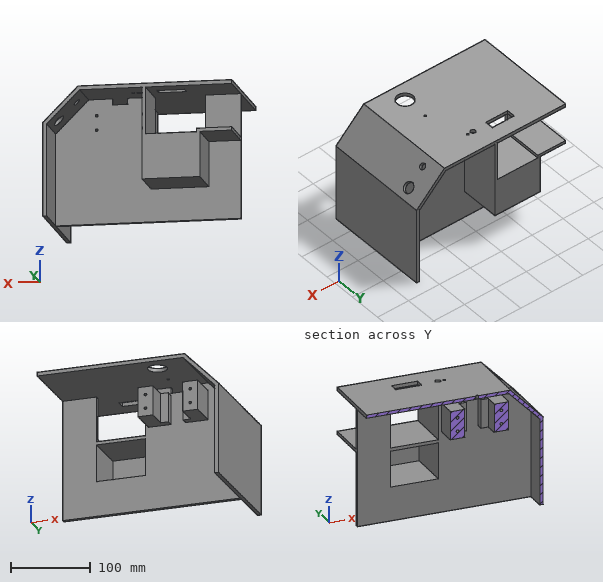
import cadquery as cq
import math

length = 241.2
width = 160.0
height = 165.0
panel = 5.0
corner_cut = 45.0
slope_angle = 45.0

wall_back = width - 60.0
wall_front = wall_back - panel
under_top = height - panel

sheet = 4.3
bay_left = 45.0
bay_right = 110.0
shelf_top = height - 60.5
bay_shelf_top = shelf_top - sheet
bay_floor_top = height - 118.5
bay_floor_bottom = bay_floor_top - sheet

window_left = 144.2
window_right = 163.8
window_bottom = height - 12.8
bracket_top = height - 15.5
bracket_bottom = bracket_top - 39.0
bracket_reach = 39.3
foot_width = 10.1
foot_thickness = 10.0
block_width = 19.8
screw_diameter = 3.1
screw_spacing = 18.3

top_holes = [
    (123.5, 127.5, 7.2),
    (132.0, 127.8, 3.1),
    (150.8, 66.3, 3.1),
    (150.8, 26.3, 25.0),
]
slot_left = 64.6
slot_right = 99.9
slot_front = 124.2
slot_back = 137.0

slope_holes = [(207.0, 9.0), (229.6, 15.7)]
slope_hole_y = 130.0


def block(x0, x1, y0, y1, z0, z1):
    """Box between two opposite corners."""
    return cq.Workplane("XY").box(x1 - x0, y1 - y0, z1 - z0, centered=False).translate((x0, y0, z0))


def profile(points, y0, y1):
    """Extrude an XZ outline from y0 to y1."""
    return cq.Workplane("XZ", origin=(0, y0, 0)).polyline(points).close().extrude(y0 - y1)


def shell_and_wall():
    """Bent cover of even thickness, with the upright wall beneath it."""
    bend_shift = panel * math.tan(math.radians(slope_angle / 2))
    top_bend = length - corner_cut
    side_bend = height - corner_cut
    outer = [(0, height), (top_bend, height), (length, side_bend), (length, 0)]
    inner = [
        (length - panel, 0),
        (length - panel, side_bend - bend_shift),
        (top_bend - bend_shift, under_top),
        (0, under_top),
    ]
    cover = profile(outer + inner, 0, width)
    wall = profile(outer + [(0, 0)], wall_front, wall_back)
    return cover.union(wall)


def cut_wall_openings(body):
    bay = block(bay_left, bay_right, wall_front, wall_back, bay_floor_top, under_top)
    window = block(window_left, window_right, wall_front, wall_back, window_bottom, under_top)
    return body.cut(bay).cut(window)


def compartment():
    """Side shelf and sheet-walled bay behind the wall."""
    outer_left = bay_left - sheet
    outer_right = bay_right + sheet
    sheets = [
        block(0, bay_left, wall_back, width, bay_shelf_top, shelf_top),
        block(bay_left, bay_right, wall_front, width, bay_shelf_top - sheet, bay_shelf_top),
        block(outer_left, bay_left, wall_back, width, bay_floor_bottom, bay_shelf_top),
        block(bay_right, outer_right, wall_back, width, bay_floor_bottom, under_top),
        block(outer_left, outer_right, wall_back, width, bay_floor_bottom, bay_floor_top),
        block(outer_left, outer_right, width - sheet, width, bay_floor_bottom, bay_shelf_top),
    ]
    body = sheets[0]
    for piece in sheets[1:]:
        body = body.union(piece)
    return body


def add_bracket(body, window_edge, outward):
    """L bracket: low foot beside the window, screw block on its outer side (outward is -1 or 1)."""
    block_inner = window_edge + outward * foot_width
    block_outer = block_inner + outward * block_width
    foot_x = sorted((window_edge, block_inner))
    block_x = sorted((block_inner, block_outer))
    foot = block(*foot_x, wall_front - foot_thickness, wall_front, bracket_bottom, bracket_top)
    screw_block = block(*block_x, wall_front - bracket_reach, wall_front, bracket_bottom, bracket_top)
    body = body.union(foot).union(screw_block)

    screw_x = (block_inner + block_outer) / 2
    middle_z = (bracket_bottom + bracket_top) / 2
    for side in (-1, 1):
        center = (screw_x, middle_z + side * screw_spacing / 2)
        screw = (
            cq.Workplane("XZ", origin=(0, wall_back, 0))
            .center(*center)
            .circle(screw_diameter / 2)
            .extrude(panel + bracket_reach)
        )
        body = body.cut(screw)
    return body


def cut_top_panel(body):
    body = body.cut(block(slot_left, slot_right, slot_front, slot_back, under_top, height))
    for x, y, diameter in top_holes:
        hole = cq.Workplane("XY", origin=(x, y, under_top)).circle(diameter / 2).extrude(panel)
        body = body.cut(hole)
    return body


def cut_sloped_panel(body):
    """Holes square to the 45 degree panel."""
    for x, diameter in slope_holes:
        z = height - (x - (length - corner_cut))
        slope = cq.Plane(origin=(x, slope_hole_y, z), xDir=(0, 1, 0), normal=(-1, 0, -1))
        hole = cq.Workplane(slope).workplane(offset=-panel).circle(diameter / 2).extrude(3 * panel)
        body = body.cut(hole)
    return body


result = cut_wall_openings(shell_and_wall())
result = result.union(compartment())
result = add_bracket(result, window_left, -1)
result = add_bracket(result, window_right, 1)
result = cut_top_panel(result)
result = cut_sloped_panel(result)